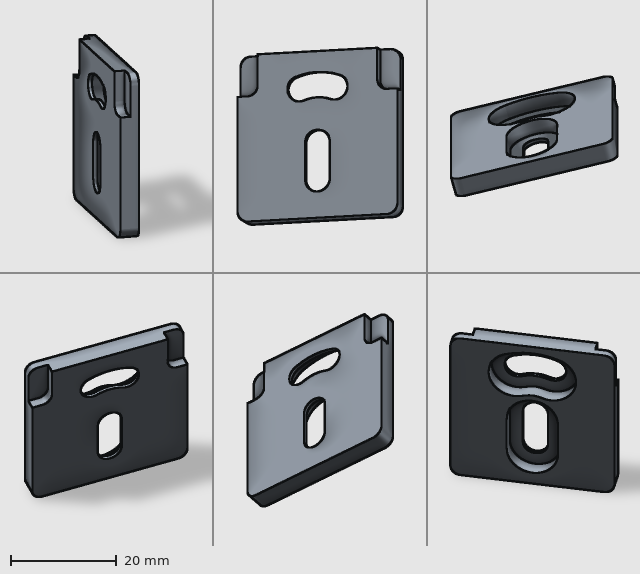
import cadquery as cq
import math

width = 31.6
thickness = 3.7
height = 32.0
corner_radius = 2.0

notch_width = 4.0
notch_height = 8.0
notch_depth = 2.0

slot_radius = 2.43
recess_margin = 2.5
recess_radius = slot_radius + recess_margin
lip_thickness = 0.8
straight_slot_z = 10.98
slot_half_span = 3.5
arc_slot_z = 25.57
arc_path_radius = 10.0


def make_plate():
    return (
        cq.Workplane("XY")
        .box(width, thickness, height, centered=(True, False, False))
        .edges("|Y")
        .fillet(corner_radius)
    )


def make_notch(side):
    """Front corner notch on the given side (-1 left, +1 right), rounded at its inner corner."""
    notch = (
        cq.Workplane("XY")
        .box(2 * notch_width, notch_depth, 2 * notch_height, centered=(True, False, True))
        .edges("|Y")
        .fillet(corner_radius)
    )
    return notch.translate((side * width / 2, 0, height))


def make_straight_slot(radius, start_y):
    """Vertical slot from start_y through the back face."""
    return (
        cq.Workplane("XZ", origin=(0, start_y, straight_slot_z))
        .slot2D(2 * (slot_half_span + radius), 2 * radius, 90)
        .extrude(start_y - thickness)
    )


def make_arc_slot(radius, start_y):
    """Upward-bowed slot with round ends from start_y through the back face."""
    center_z = arc_slot_z - arc_path_radius
    half_angle = math.asin(slot_half_span / arc_path_radius)

    def point(distance, angle):
        return (distance * math.sin(angle), center_z + distance * math.cos(angle))

    outer = arc_path_radius + radius
    inner = arc_path_radius - radius
    cap_turn = math.radians(90) + half_angle
    end_z = point(arc_path_radius, half_angle)[1]
    cap_x = slot_half_span + radius * math.sin(cap_turn)
    cap_z = end_z + radius * math.cos(cap_turn)
    return (
        cq.Workplane("XZ", origin=(0, start_y, 0))
        .moveTo(*point(outer, -half_angle))
        .threePointArc(point(outer, 0), point(outer, half_angle))
        .threePointArc((cap_x, cap_z), point(inner, half_angle))
        .threePointArc(point(inner, 0), point(inner, -half_angle))
        .threePointArc((-cap_x, cap_z), point(outer, -half_angle))
        .close()
        .extrude(start_y - thickness)
    )


result = make_plate()
for side in (-1, 1):
    result = result.cut(make_notch(side))
for make_slot in (make_straight_slot, make_arc_slot):
    result = result.cut(make_slot(slot_radius, 0))
    result = result.cut(make_slot(recess_radius, lip_thickness))